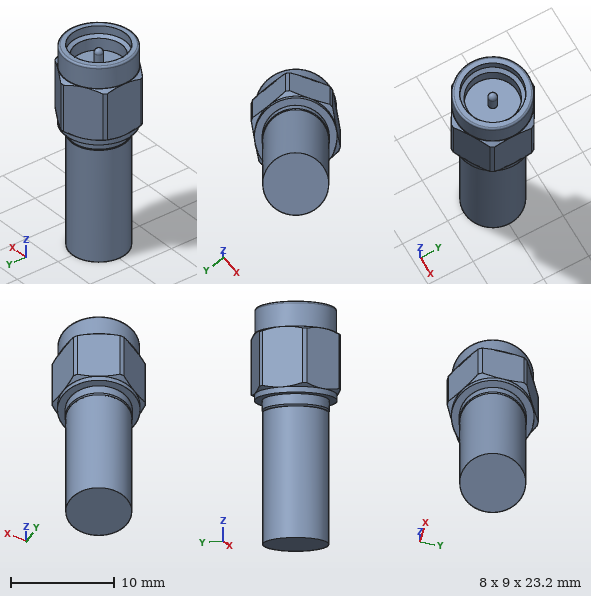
import cadquery as cq
import math

length = 23.25

barrel_diameter = 6.4
barrel_radius = barrel_diameter / 2
barrel_length = 13.02
neck_radius = 3.07
ring_radius = 3.25
ring_taper_height = 0.19
flange_bottom = 14.2

nut_across_flats = 8.0
nut_across_corners = 9.0
nut_corner_radius = nut_across_corners / 2
nut_bottom = 14.76
nut_top = 20.75
nut_chamfer_angle = 30.0
hexagon_half_angle = 180 / 6

collar_radius = 3.95
collar_rounding = 0.2

entry_radius = barrel_radius
entry_depth = 0.9
well_radius = 2.77
ledge_bottom_depth = 1.16
well_depth = 2.53

pin_radius = 0.46
pin_tip_depth = 0.49

flange_radius = nut_across_flats / 2


def revolve_profile(points):
    """Revolve a closed (radius, height) outline around the Z axis."""
    outline = cq.Workplane("XZ").polyline(points).close()
    return outline.revolve(360, (0, 0, 0), (0, 1, 0))


def make_barrel():
    """Barrel, shoulder ring that tapers in to a narrow neck on the barrel, and round flange."""
    return revolve_profile([
        (0, 0),
        (barrel_radius, 0),
        (barrel_radius, barrel_length),
        (neck_radius, barrel_length),
        (ring_radius, barrel_length + ring_taper_height),
        (ring_radius, flange_bottom),
        (flange_radius, flange_bottom),
        (flange_radius, nut_bottom),
        (0, nut_bottom),
    ])


def make_hexagon():
    """Hexagon with two flats facing X, rounded corners and conical end chamfers."""
    corner_diameter = nut_across_flats / math.cos(math.radians(hexagon_half_angle))
    prism = (
        cq.Workplane("XY")
        .workplane(offset=nut_bottom)
        .polygon(6, corner_diameter)
        .extrude(nut_top - nut_bottom)
        .rotate((0, 0, 0), (0, 0, 1), hexagon_half_angle)
    )
    chamfer_width = nut_corner_radius - flange_radius
    chamfer_height = chamfer_width * math.tan(math.radians(nut_chamfer_angle))
    turned_blank = revolve_profile([
        (0, nut_bottom),
        (flange_radius, nut_bottom),
        (nut_corner_radius, nut_bottom + chamfer_height),
        (nut_corner_radius, nut_top - chamfer_height),
        (flange_radius, nut_top),
        (0, nut_top),
    ])
    return prism.intersect(turned_blank)


def make_collar():
    """Round collar with a rounded upper rim."""
    collar = cq.Workplane("XY").workplane(offset=nut_top).circle(collar_radius).extrude(length - nut_top)
    return collar.faces(">Z").edges().fillet(collar_rounding)


def make_socket():
    """Stepped cavity that opens through the top of the collar."""
    return revolve_profile([
        (0, length),
        (entry_radius, length),
        (entry_radius, length - entry_depth),
        (well_radius, length - ledge_bottom_depth),
        (well_radius, length - well_depth),
        (0, length - well_depth),
    ])


def make_pin():
    """Center contact, rooted at the floor of the socket."""
    floor = length - well_depth
    pin_height = well_depth - pin_tip_depth
    pin = cq.Workplane("XY").workplane(offset=floor).circle(pin_radius).extrude(pin_height - pin_radius)
    tip = cq.Workplane("XY").sphere(pin_radius).translate((0, 0, floor + pin_height - pin_radius))
    return pin.union(tip)


shell = make_barrel().union(make_hexagon()).union(make_collar())
result = shell.cut(make_socket()).union(make_pin())